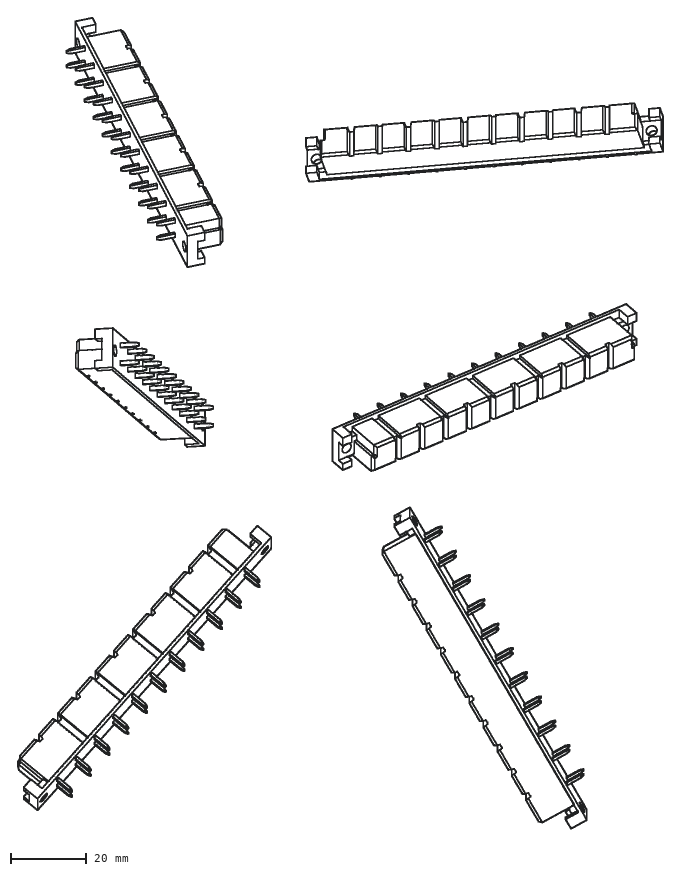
import cadquery as cq
import math

length = 95.0
height = 10.6
overall_depth = 16.6
plate_thickness = 0.95

ear_width = 2.9
ear_depth = 4.8
web_depth = 2.9
slot_height = 5.9
mount_z = -0.3
hole_diameter = 2.85
hole_inset = 2.6

housing_depth = 11.6
housing_height = 8.3
upper_inset = 5.8
lower_inset = 4.9
upper_length = length - 2 * upper_inset
lower_length = length - 2 * lower_inset
step_z = 0.95
taper_depth = 0.9
taper_inset = 0.6

pin_columns = 11
first_pin_x = -39.3
last_pin_x = 36.9
pitch = (last_pin_x - first_pin_x) / (pin_columns - 1)
row_spacing = 4.8
pin_length = overall_depth - housing_depth
pin_width = 0.8
pin_height = 1.1
tip_length = 1.0
tip_inset = 0.24

notch_count = 10
notch_mouth = 1.8
notch_floor = 1.1
notch_depth = 1.6
groove_width = 2.0
groove_depth = 0.95


def block(size_x, y_start, y_end, z_bottom, z_top, x=0):
    """Box centred on x, given by its Y and Z limits."""
    box = cq.Workplane("XY").box(size_x, y_end - y_start, z_top - z_bottom, centered=(True, False, False))
    return box.translate((x, y_start, z_bottom))


def make_flange():
    """Plate with end ears, the web between them, and the slot in each ear."""
    slot_bottom = mount_z - slot_height / 2
    slot_top = mount_z + slot_height / 2
    flange = block(length, 0, plate_thickness, -height / 2, height / 2)
    flange = flange.union(block(length, 0, web_depth, slot_bottom, slot_top))
    for side in (-1, 1):
        ear_x = side * (length - ear_width) / 2
        ear = block(ear_width, 0, ear_depth, -height / 2, height / 2, ear_x)
        slot = block(ear_width, web_depth, ear_depth, slot_bottom, slot_top, ear_x)
        flange = flange.union(ear.cut(slot))
    return flange


def cut_mounting_holes(body):
    """Round hole through each ear along Y."""
    hole_x = length / 2 - hole_inset
    holes = (
        cq.Workplane("XZ")
        .pushPoints([(-hole_x, mount_z), (hole_x, mount_z)])
        .circle(hole_diameter / 2)
        .extrude(-ear_depth)
    )
    return body.cut(holes)


def housing_outline(y):
    """Stepped cross-section of the housing on the plane at the given Y."""
    bottom = -housing_height / 2
    top = housing_height / 2
    return (
        cq.Workplane("XZ", origin=(0, y, 0))
        .moveTo(-lower_length / 2, bottom)
        .lineTo(lower_length / 2, bottom)
        .lineTo(lower_length / 2, step_z)
        .lineTo(upper_length / 2, step_z)
        .lineTo(upper_length / 2, top)
        .lineTo(-upper_length / 2, top)
        .lineTo(-upper_length / 2, step_z)
        .lineTo(-lower_length / 2, step_z)
        .close()
    )


def make_housing():
    """Straight housing block with a tapered mating end."""
    straight_end = housing_depth - taper_depth
    taper_angle = math.degrees(math.atan2(taper_inset, taper_depth))
    straight = housing_outline(0).extrude(-straight_end)
    tapered = housing_outline(straight_end).extrude(-taper_depth, taper=taper_angle)
    return straight.union(tapered)


def cut_notches(body):
    """Notches through the full height, with a shallow top groove at every second one."""
    for index in range(notch_count):
        x = (index - (notch_count - 1) / 2) * pitch
        notch = (
            cq.Workplane("XY", origin=(x, housing_depth, -height / 2))
            .moveTo(-notch_mouth / 2, 0)
            .lineTo(-notch_floor / 2, -notch_depth)
            .lineTo(notch_floor / 2, -notch_depth)
            .lineTo(notch_mouth / 2, 0)
            .close()
            .extrude(height)
        )
        body = body.cut(notch)
        if index % 2 == 1:
            top = housing_height / 2
            groove = block(groove_width, plate_thickness, housing_depth, top - groove_depth, top, x)
            body = body.cut(groove)
    return body


def make_pin(x, z):
    """Rectangular pin pointing along -Y, narrowing to its tip."""
    shank_length = pin_length - tip_length
    shank = cq.Workplane("XZ", origin=(x, 0, z)).rect(pin_width, pin_height).extrude(shank_length)
    tip = (
        shank.faces("<Y")
        .workplane(origin=(x, -shank_length, z))
        .rect(pin_width, pin_height)
        .workplane(offset=tip_length)
        .rect(pin_width - 2 * tip_inset, pin_height - 2 * tip_inset)
        .loft(combine=False)
    )
    return shank.union(tip)


result = cut_notches(make_housing()).union(make_flange())
result = cut_mounting_holes(result)
for column in range(pin_columns):
    for row_z in (-row_spacing / 2, row_spacing / 2):
        result = result.union(make_pin(first_pin_x + column * pitch, row_z))